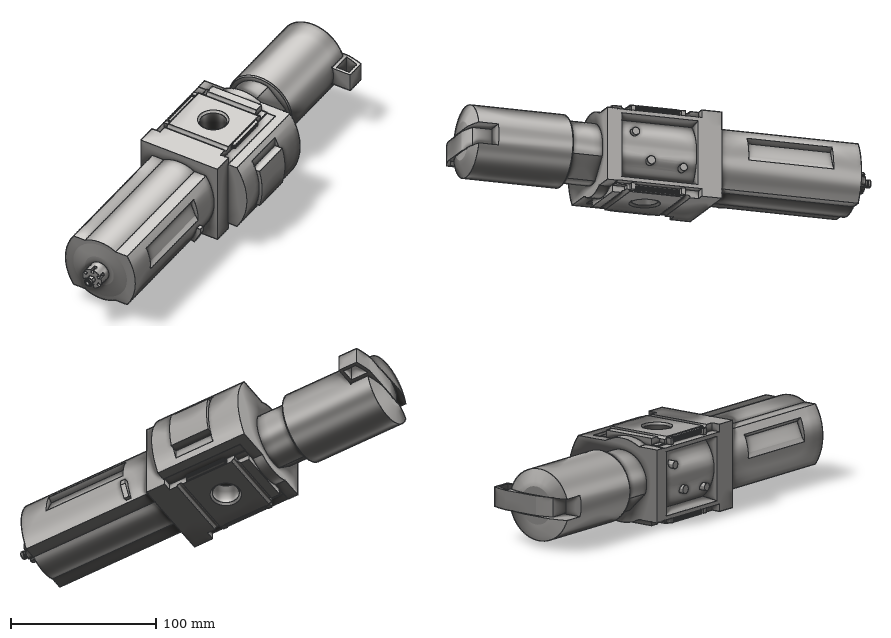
import cadquery as cq
import math


HOUSING_HALF = 31.0
HOUSING_TOP = 84.0
SHOULDER_BASE = 76.3
SHOULDER_HALF_Z = 25.8
SHOULDER_RADIUS = 29.7
LEDGE_BASE = 14.7
LEDGE_HALF_Z = 25.5
PLATE_HALF_X = 24.3
UPPER_PAD_HALF_X = 19.8
PAD_CORNER_HALF_Z = 26.5
GROOVE_STARTS = (69.7, 25.2)
GROOVE_WIDTH = 4.5
GROOVE_DEPTH = 1.8

PORT_Y = 45.0
PORT_DIAMETER = 18.5
PORT_CHAMFER = 1.5
PORT_DEPTH = 18.0
GRIP_REACH = 2.7
GRIP_HALF_LENGTH = 15.0
GRIP_HALF_ROOT = 16.5
GRIP_DROP = 0.5
GRIP_RIBS = 3
RIB_THICKNESS = 0.5
RIB_PITCH = 1.2
CLIP_LENGTH = 3.0
CLIP_REACH = 3.5
CLIP_HALF_Z = 30.0
CLIP_CENTERS = (63.7, 27.0)

POCKET_BASE = 17.5
POCKET_TOP = 73.5
POCKET_MOUTH_HALF_Z = 22.8
POCKET_ROOT_HALF_Z = 21.3
CORE_RADIUS = 28.2
BOSS_FACE_X = -30.0
BOSSES = ((62.8, 11.0, 5.5), (51.5, -8.5, 6.0), (27.5, -11.0, 5.5))

COVER_BASE = 13.8
COVER_EDGE_X = 38.0
COVER_CREST_X = 46.2
BADGE_HALF = 15.0
BADGE_ROOT_X = 40.5
BADGE_EDGE_X = 46.5
BADGE_CREST_X = 48.5

BOWL_LENGTH = 104.0
BOWL_CORNER_X = 21.5
BOWL_FLAT_Z = 21.3
BOWL_SIDE_X = 28.2
BOWL_CROWN_RADIUS = 24.5
BASE_CONE_HEIGHT = 1.0
BASE_CONE_DIAMETER = 43.2
BASE_CONE_TIP_DIAMETER = 23.0
WINDOW_TOP = -21.0
WINDOW_BASE = -83.5
LATCH_TOP = -17.7
LATCH_LENGTH = 4.0

DRAIN_DIAMETER = 15.0
DRAIN_END = -114.7
DRAIN_SLOTS = 6
SLOT_WIDTH = 2.0
SLOT_LENGTH = 4.8
SLOT_DEPTH = 2.5
STEM_DIAMETER = 5.0
STEM_THICKNESS = 4.0
STEM_END = -118.0
TIP_END = -120.7
TIP_DIAMETER = 5.7
TIP_BORE_DIAMETER = 3.0
TIP_EDGE = 0.5

NECK_RADIUS = 21.5
NECK_FLAT_DISTANCE = 19.2
NECK_FLAT_ANGLE = 45
KNOB_RADIUS = 25.5
KNOB_BASE = 106.5
KNOB_RIM = 176.3
KNOB_TOP = 179.5
KNOB_CHAMFER = 1.0
CROWN_FLAT_RADIUS = 13.5
CROWN_MID_RADIUS = 19.8
CROWN_MID_DROP = 1.5

SLIDE_HALF_Z = 7.0
SLIDE_GAP = 0.5
SLIDE_BASE = 162.0
SLIDE_SHIFT = 13.5
SLIDE_WALL = 2.25


def y_cylinder(diameter, start, end):
    """Cylinder on the long axis from start to end."""
    low = min(start, end)
    return cq.Workplane("XZ", origin=(0, low, 0)).circle(diameter / 2).extrude(-abs(end - start))


def xz_prism(points, start, end):
    """Polygon in X and Z, extruded along Y from start to end."""
    return cq.Workplane("XZ", origin=(0, start, 0)).polyline(points).close().extrude(start - end)


def y_box(x_min, x_max, y_min, y_max, half_z):
    """Box that is symmetric about Z = 0."""
    size = (x_max - x_min, y_max - y_min, 2 * half_z)
    center = ((x_min + x_max) / 2, (y_min + y_max) / 2, 0)
    return cq.Workplane("XY").box(*size).translate(center)


def mirror_z(shape):
    return shape.union(shape.mirror("XY"))


def make_housing_block():
    lower = y_box(-HOUSING_HALF, HOUSING_HALF, 0, LEDGE_BASE, HOUSING_HALF)
    ledges = y_box(-HOUSING_HALF, HOUSING_HALF, LEDGE_BASE, SHOULDER_BASE, LEDGE_HALF_Z)
    plate_top = GROOVE_STARTS[0] - GROOVE_WIDTH / 2
    plate = y_box(-PLATE_HALF_X, PLATE_HALF_X, LEDGE_BASE, plate_top, HOUSING_HALF)
    pad = y_box(-UPPER_PAD_HALF_X, UPPER_PAD_HALF_X, plate_top, SHOULDER_BASE, HOUSING_HALF)
    corners = y_box(-PLATE_HALF_X, PLATE_HALF_X, plate_top, SHOULDER_BASE, PAD_CORNER_HALF_Z)
    shoulder = y_box(-HOUSING_HALF, HOUSING_HALF, SHOULDER_BASE, HOUSING_TOP, SHOULDER_HALF_Z)
    crest = y_cylinder(2 * SHOULDER_RADIUS, SHOULDER_BASE, HOUSING_TOP)
    plates = plate.union(pad).union(corners)
    return lower.union(ledges).union(plates).union(shoulder).union(crest)


def make_grooves():
    """Round-bottomed grooves that cross the port plates."""
    grooves = cq.Workplane("YZ")
    for start in GROOVE_STARTS:
        groove = (
            cq.Workplane("YZ")
            .moveTo(start, HOUSING_HALF)
            .threePointArc(
                (start - GROOVE_WIDTH / 2, HOUSING_HALF - GROOVE_DEPTH),
                (start - GROOVE_WIDTH, HOUSING_HALF),
            )
            .close()
            .extrude(PLATE_HALF_X, both=True)
        )
        grooves = grooves.union(groove)
    return mirror_z(grooves)


def make_ports():
    """Blind ports with chamfered mouths in the +Z and -Z plates."""
    radius = PORT_DIAMETER / 2
    profile = [
        (0, HOUSING_HALF - PORT_DEPTH),
        (radius, HOUSING_HALF - PORT_DEPTH),
        (radius, HOUSING_HALF - PORT_CHAMFER),
        (radius + PORT_CHAMFER, HOUSING_HALF),
        (0, HOUSING_HALF),
    ]
    port = cq.Workplane("XZ").polyline(profile).close().revolve(360, (0, 0), (0, 1))
    return mirror_z(port.translate((0, PORT_Y, 0)))


def make_grips():
    """Thin stacked ribs along both long edges of each plate."""
    outline = [
        (PLATE_HALF_X, PORT_Y - GRIP_HALF_ROOT),
        (PLATE_HALF_X + GRIP_REACH, PORT_Y - GRIP_HALF_LENGTH),
        (PLATE_HALF_X + GRIP_REACH, PORT_Y + GRIP_HALF_LENGTH),
        (PLATE_HALF_X, PORT_Y + GRIP_HALF_ROOT),
    ]
    ribs = cq.Workplane("XY")
    for index in range(GRIP_RIBS):
        top = HOUSING_HALF - GRIP_DROP - index * RIB_PITCH
        rib = cq.Workplane("XY", origin=(0, 0, top)).polyline(outline).close().extrude(-RIB_THICKNESS)
        ribs = ribs.union(rib)
    return mirror_z(ribs.union(ribs.mirror("YZ")))


def make_clips():
    """Small clips beside the plates, above the ledges on the -X side."""
    clips = cq.Workplane("XY")
    for center in CLIP_CENTERS:
        low = center - CLIP_LENGTH / 2
        clip = y_box(-PLATE_HALF_X - CLIP_REACH, -PLATE_HALF_X, low, low + CLIP_LENGTH, CLIP_HALF_Z)
        clips = clips.union(clip)
    return clips.cut(y_box(-HOUSING_HALF, 0, 0, HOUSING_TOP, LEDGE_HALF_Z))


def make_pocket():
    """Tapered pocket that leaves a round core standing behind it."""
    root_x = -math.sqrt(CORE_RADIUS**2 - POCKET_ROOT_HALF_Z**2)
    section = [
        (-HOUSING_HALF, -POCKET_MOUTH_HALF_Z),
        (-HOUSING_HALF, POCKET_MOUTH_HALF_Z),
        (root_x, POCKET_ROOT_HALF_Z),
        (root_x, -POCKET_ROOT_HALF_Z),
    ]
    pocket = xz_prism(section, POCKET_BASE, POCKET_TOP)
    return pocket.cut(y_cylinder(2 * CORE_RADIUS, POCKET_BASE, POCKET_TOP))


def make_bosses():
    """Round bosses that stand on the core in the pocket."""
    bosses = cq.Workplane("YZ")
    for y, z, diameter in BOSSES:
        boss = cq.Workplane("YZ", origin=(BOSS_FACE_X, y, z)).circle(diameter / 2).extrude(-BOSS_FACE_X / 2)
        bosses = bosses.union(boss)
    return bosses


def bulged_block(root_x, edge_x, crest_x, half_z, start, end):
    """Block on the +X side whose outer face bulges from edge_x to crest_x."""
    return (
        cq.Workplane("XZ", origin=(0, start, 0))
        .moveTo(root_x, -half_z)
        .lineTo(edge_x, -half_z)
        .threePointArc((crest_x, 0), (edge_x, half_z))
        .lineTo(root_x, half_z)
        .close()
        .extrude(start - end)
    )


def make_cover():
    cover = bulged_block(
        HOUSING_HALF, COVER_EDGE_X, COVER_CREST_X, SHOULDER_HALF_Z, COVER_BASE, HOUSING_TOP
    )
    badge = bulged_block(
        BADGE_ROOT_X, BADGE_EDGE_X, BADGE_CREST_X, BADGE_HALF, PORT_Y - BADGE_HALF, PORT_Y + BADGE_HALF
    )
    recess = y_box(
        BADGE_ROOT_X, COVER_CREST_X, PORT_Y - BADGE_HALF, PORT_Y + BADGE_HALF, SHOULDER_HALF_Z
    )
    return cover.cut(recess).union(badge)


def make_bowl():
    """Filter bowl: bulged sides, flat shoulders and round crowns."""
    crown_x = math.sqrt(BOWL_CROWN_RADIUS**2 - BOWL_FLAT_Z**2)
    bowl = (
        cq.Workplane("XZ")
        .moveTo(-BOWL_CORNER_X, BOWL_FLAT_Z)
        .lineTo(-crown_x, BOWL_FLAT_Z)
        .threePointArc((0, BOWL_CROWN_RADIUS), (crown_x, BOWL_FLAT_Z))
        .lineTo(BOWL_CORNER_X, BOWL_FLAT_Z)
        .threePointArc((BOWL_SIDE_X, 0), (BOWL_CORNER_X, -BOWL_FLAT_Z))
        .lineTo(crown_x, -BOWL_FLAT_Z)
        .threePointArc((0, -BOWL_CROWN_RADIUS), (-crown_x, -BOWL_FLAT_Z))
        .lineTo(-BOWL_CORNER_X, -BOWL_FLAT_Z)
        .threePointArc((-BOWL_SIDE_X, 0), (-BOWL_CORNER_X, BOWL_FLAT_Z))
        .close()
        .extrude(BOWL_LENGTH)
    )
    return bowl.cut(make_windows()).union(make_latch())


def make_windows():
    """Shallow windows with sloping edges in both sides of the bowl."""
    section = [(24.5, 16.0), (21.5, 13.0), (26.0, 2.5), (28.2, -0.5), (30.0, -0.5), (30.0, 16.0)]
    window = xz_prism(section, WINDOW_BASE, WINDOW_TOP)
    return window.union(window.mirror("YZ"))


def make_latch():
    """Release latch low on the +X side of the bowl."""
    section = [(26.5, -7.5), (30.3, -7.5), (30.3, -11.5), (25.5, -20.5), (21.0, -19.2)]
    return xz_prism(section, LATCH_TOP - LATCH_LENGTH, LATCH_TOP)


def make_drain():
    """Shallow base cone, castellated drain nut and stem with a bored tip."""
    cone_end = -BOWL_LENGTH - BASE_CONE_HEIGHT
    stem_radius = STEM_DIAMETER / 2
    tip_radius = TIP_DIAMETER / 2
    profile = [
        (0, -BOWL_LENGTH),
        (BASE_CONE_DIAMETER / 2, -BOWL_LENGTH),
        (BASE_CONE_TIP_DIAMETER / 2, cone_end),
        (DRAIN_DIAMETER / 2, cone_end),
        (DRAIN_DIAMETER / 2, DRAIN_END),
        (stem_radius, DRAIN_END),
        (stem_radius, STEM_END),
        (tip_radius, STEM_END - TIP_EDGE),
        (tip_radius, TIP_END + TIP_EDGE),
        (tip_radius - TIP_EDGE, TIP_END),
        (0, TIP_END),
    ]
    drain = cq.Workplane("XY").polyline(profile).close().revolve(360, (0, 0), (0, 1))
    drain = drain.cut(y_cylinder(TIP_BORE_DIAMETER, TIP_END, STEM_END))
    stem_space = y_box(-stem_radius, stem_radius, STEM_END, DRAIN_END, stem_radius)
    stem = y_box(-stem_radius, stem_radius, STEM_END, DRAIN_END, STEM_THICKNESS / 2)
    drain = drain.cut(stem_space.cut(stem))
    slot = cq.Workplane("XY").box(SLOT_WIDTH, SLOT_LENGTH, SLOT_DEPTH)
    slot = slot.translate((0, DRAIN_END + SLOT_LENGTH / 2, (DRAIN_DIAMETER - SLOT_DEPTH) / 2))
    for index in range(DRAIN_SLOTS):
        drain = drain.cut(slot.rotate((0, 0, 0), (0, 1, 0), index * 360 / DRAIN_SLOTS))
    return drain


def make_neck():
    """Round neck with two opposite flats, turned to face the corners."""
    neck = y_cylinder(2 * NECK_RADIUS, HOUSING_TOP, KNOB_BASE)
    slab = y_box(-NECK_FLAT_DISTANCE, NECK_FLAT_DISTANCE, HOUSING_TOP, KNOB_BASE, NECK_RADIUS)
    return neck.intersect(slab.rotate((0, 0, 0), (0, 1, 0), -NECK_FLAT_ANGLE))


def make_knob():
    """Knob with a rounded crown and a slot across it for the lock slide."""
    knob = (
        cq.Workplane("XY")
        .moveTo(0, KNOB_BASE)
        .lineTo(KNOB_RADIUS - KNOB_CHAMFER, KNOB_BASE)
        .lineTo(KNOB_RADIUS, KNOB_BASE + KNOB_CHAMFER)
        .lineTo(KNOB_RADIUS, KNOB_RIM)
        .threePointArc((CROWN_MID_RADIUS, KNOB_TOP - CROWN_MID_DROP), (CROWN_FLAT_RADIUS, KNOB_TOP))
        .lineTo(0, KNOB_TOP)
        .close()
        .revolve(360, (0, 0), (0, 1))
    )
    return knob.cut(y_box(-KNOB_RADIUS, KNOB_RADIUS, SLIDE_BASE, KNOB_TOP, SLIDE_HALF_Z + SLIDE_GAP))


def slide_outline(inset):
    """Crowned outline of the lock slide, drawn in by inset on every side."""
    half = KNOB_RADIUS - inset
    return (
        cq.Workplane("XY")
        .moveTo(-half, SLIDE_BASE + inset)
        .lineTo(half, SLIDE_BASE + inset)
        .lineTo(half, KNOB_RIM - inset)
        .threePointArc(
            (CROWN_MID_RADIUS - inset / 2, KNOB_TOP - CROWN_MID_DROP - inset),
            (CROWN_FLAT_RADIUS, KNOB_TOP - inset),
        )
        .lineTo(-CROWN_FLAT_RADIUS, KNOB_TOP - inset)
        .threePointArc(
            (-CROWN_MID_RADIUS + inset / 2, KNOB_TOP - CROWN_MID_DROP - inset),
            (-half, KNOB_RIM - inset),
        )
        .close()
        .extrude(SLIDE_HALF_Z, both=True)
    )


def make_lock_slide():
    """Slide pulled out of the knob slot, with an eye for a padlock."""
    eye_start = KNOB_RADIUS - SLIDE_SHIFT + SLIDE_WALL / 2
    eye = slide_outline(SLIDE_WALL).intersect(
        y_box(eye_start, KNOB_RADIUS, SLIDE_BASE, KNOB_TOP, SLIDE_HALF_Z)
    )
    return slide_outline(0).cut(eye).translate((SLIDE_SHIFT, 0, 0))


def make_regulator():
    """One solid: housing, cover, bowl, drain valve, neck and knob."""
    housing = make_housing_block().cut(make_grooves()).cut(make_ports())
    housing = housing.union(make_grips()).union(make_clips())
    housing = housing.cut(make_pocket()).union(make_bosses())
    housing = housing.union(make_cover()).union(make_bowl()).union(make_drain())
    return housing.union(make_neck()).union(make_knob())


regulator = make_regulator()
lock_slide = make_lock_slide()

result = cq.Compound.makeCompound([regulator.val(), lock_slide.val()])